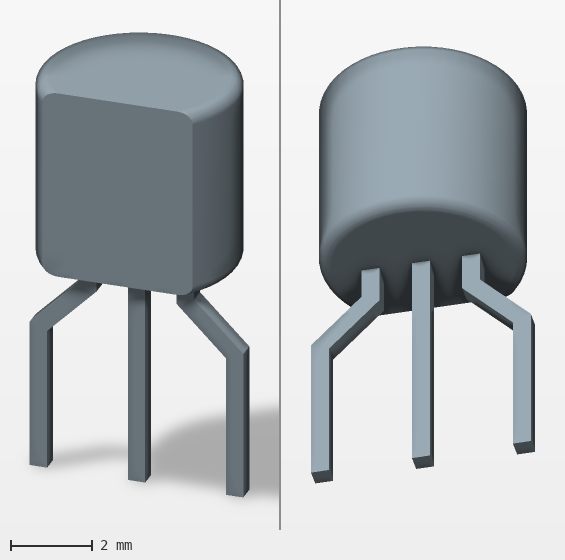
import cadquery as cq
import math

total_height = 11.0
body_height = 5.0
body_diameter = 5.1
flat_offset = 1.65
edge_radius = 0.3

lead_width = 0.45
inner_pitch = 1.26
outer_pitch = 2.54
straight_below_body = 0.8
lead_length = total_height - body_height
lead_overlap = 0.11

body_radius = body_diameter / 2
half_lead = lead_width / 2


def make_body():
    """Cylinder with rounded rims, standing on Z = 0, cut by a flat on -Y."""
    cylinder = cq.Workplane("XY").circle(body_radius).extrude(body_height)
    rounded = cylinder.edges().fillet(edge_radius)
    keep_depth = body_radius + flat_offset
    keep = cq.Workplane("XY").box(
        body_diameter, keep_depth, body_height, centered=(True, False, False)
    )
    return rounded.intersect(keep.translate((0, -flat_offset, 0)))


def make_straight_lead():
    """Middle lead on the body axis."""
    lead = cq.Workplane("XY").workplane(offset=-lead_length)
    return lead.rect(lead_width, lead_width).extrude(lead_length + lead_overlap)


def make_bent_lead():
    """Outer lead on the +X side, with mitred 45 degree bends."""
    miter = lead_width * math.tan(math.radians(22.5))
    outer_bend_top = -straight_below_body
    outer_bend_bottom = outer_bend_top - (outer_pitch - inner_pitch)
    outline = [
        (inner_pitch + half_lead, lead_overlap),
        (inner_pitch + half_lead, outer_bend_top),
        (outer_pitch + half_lead, outer_bend_bottom),
        (outer_pitch + half_lead, -lead_length),
        (outer_pitch - half_lead, -lead_length),
        (outer_pitch - half_lead, outer_bend_bottom - miter),
        (inner_pitch - half_lead, outer_bend_top - miter),
        (inner_pitch - half_lead, lead_overlap),
    ]
    return cq.Workplane("XZ").polyline(outline).close().extrude(half_lead, both=True)


bent_lead = make_bent_lead()
result = (
    make_body()
    .union(make_straight_lead())
    .union(bent_lead)
    .union(bent_lead.mirror("YZ"))
)